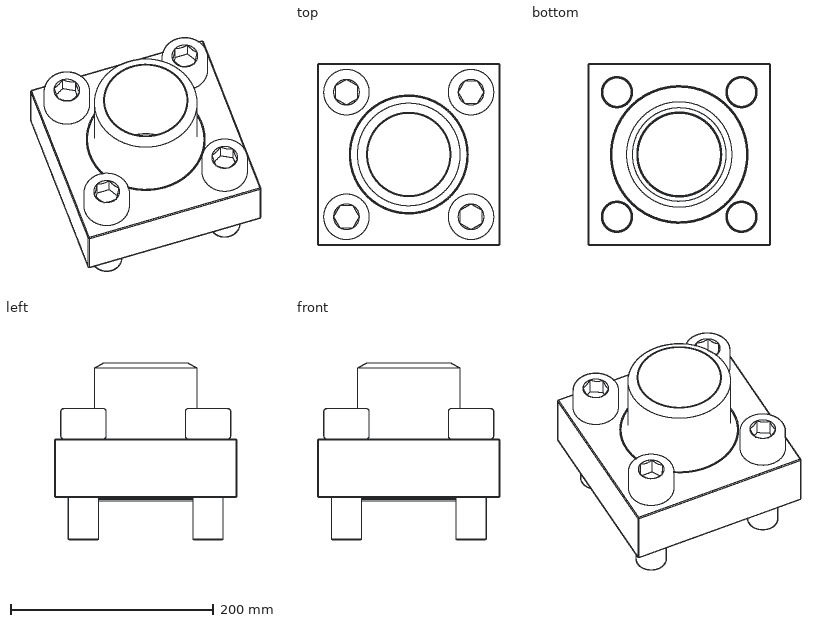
import math

import cadquery as cq

flange_side = 180.0
flange_height = 58.0
flange_chamfer = 1.0
bolt_circle_diameter = 174.0
bolt_hole_diameter = 31.0
hub_hole_chamfer = 1.0

tube_diameter = 101.5
bore_diameter = 81.5
tip_diameter = 83.3
tip_bevel_height = 5.0
neck_rise = 75.0
straight_bore_depth = 37.5
bore_mouth_diameter = 84.0
hub_diameter = 115.0
collar_diameter = 135.0
collar_height = 25.2
collar_chamfer = 0.9
collar_projection = 2.0

hub_hole_diameter = 115.5
collar_recess_diameter = 136.0

seal_inner_diameter = 92.5
seal_outer_diameter = 104.2
seal_projection = 1.5

shank_diameter = 30.0
shank_length = 99.9
shank_tip_chamfer = 1.0
head_diameter = 45.0
head_height = 30.0
head_top_fillet = 3.0
head_bottom_fillet = 3.0
socket_corner_diameter = 25.4
socket_depth = 17.1
socket_mouth_depth = 1.8

bolt_offset = bolt_circle_diameter / 2 * math.sqrt(0.5)
neck_top = flange_height + neck_rise
collar_bottom = -collar_projection
collar_top = collar_bottom + collar_height
hub_fillet = (hub_diameter - tube_diameter) / 2
seal_section_radius = (seal_outer_diameter - seal_inner_diameter) / 4
seal_center_radius = (seal_outer_diameter + seal_inner_diameter) / 4
seal_center_z = collar_bottom - seal_projection + seal_section_radius
bolt_positions = [(sx * bolt_offset, sy * bolt_offset) for sx in (-1, 1) for sy in (-1, 1)]


def make_flange():
    """Square block with a stepped central hole and four bolt holes."""
    block = cq.Workplane("XY").box(flange_side, flange_side, flange_height, centered=(True, True, False))
    block = block.edges().chamfer(flange_chamfer)
    hub_hole = cq.Workplane("XY").circle(hub_hole_diameter / 2).extrude(flange_height)
    collar_recess = cq.Workplane("XY").circle(collar_recess_diameter / 2).extrude(collar_top)
    bolt_holes = (
        cq.Workplane("XY")
        .pushPoints(bolt_positions)
        .circle(bolt_hole_diameter / 2)
        .extrude(flange_height)
    )
    hub_hole_mouth = (
        cq.Workplane("XY", origin=(0, 0, flange_height))
        .circle(hub_hole_diameter / 2 + hub_hole_chamfer)
        .extrude(-hub_hole_chamfer, taper=45)
    )
    return block.cut(hub_hole).cut(hub_hole_mouth).cut(collar_recess).cut(bolt_holes)


def make_neck():
    """Revolved welding neck with a face groove for the seal."""
    tube_radius = tube_diameter / 2
    hub_radius = hub_diameter / 2
    collar_radius = collar_diameter / 2
    arc_middle_offset = hub_fillet * (1 - math.sqrt(0.5))
    body = (
        cq.Workplane("XZ")
        .moveTo(bore_mouth_diameter / 2, collar_bottom)
        .lineTo(collar_radius - collar_chamfer, collar_bottom)
        .lineTo(collar_radius, collar_bottom + collar_chamfer)
        .lineTo(collar_radius, collar_top)
        .lineTo(hub_radius, collar_top)
        .lineTo(hub_radius, flange_height)
        .threePointArc(
            (tube_radius + arc_middle_offset, flange_height + arc_middle_offset),
            (tube_radius, flange_height + hub_fillet),
        )
        .lineTo(tube_radius, neck_top - tip_bevel_height)
        .lineTo(tip_diameter / 2, neck_top)
        .lineTo(bore_diameter / 2, neck_top)
        .lineTo(bore_diameter / 2, neck_top - straight_bore_depth)
        .close()
        .revolve(360, (0, 0, 0), (0, 1, 0))
    )
    groove_depth = seal_center_z + seal_section_radius - collar_bottom
    groove = (
        cq.Workplane("XY", origin=(0, 0, collar_bottom))
        .circle(seal_outer_diameter / 2)
        .circle(seal_inner_diameter / 2)
        .extrude(groove_depth)
    )
    return body.cut(groove)


def make_seal():
    """O-ring seated in the neck groove."""
    center = cq.Vector(0, 0, seal_center_z)
    return cq.Workplane(cq.Solid.makeTorus(seal_center_radius, seal_section_radius, center))


def make_bolt(x, y):
    """Socket head bolt seated on the flange top; sockets alternate by 90 degrees around the square."""
    head = cq.Workplane("XY").circle(head_diameter / 2).extrude(head_height)
    head = head.faces(">Z").edges().fillet(head_top_fillet)
    head = head.faces("<Z").edges().fillet(head_bottom_fillet)
    shank = cq.Workplane("XY").circle(shank_diameter / 2).extrude(-shank_length)
    shank = shank.faces("<Z").edges().chamfer(shank_tip_chamfer)
    hexagon = (
        cq.Workplane("XY", origin=(0, 0, head_height - socket_depth))
        .polygon(6, socket_corner_diameter)
        .extrude(socket_depth)
    )
    mouth = cq.Workplane(
        cq.Solid.makeCone(
            socket_corner_diameter / 2 - socket_mouth_depth,
            socket_corner_diameter / 2,
            socket_mouth_depth,
            cq.Vector(0, 0, head_height - socket_mouth_depth),
        )
    )
    socket_turn = 0 if x * y > 0 else 90
    bolt = head.union(shank).cut(hexagon).cut(mouth)
    return bolt.rotate((0, 0, 0), (0, 0, 1), socket_turn).translate((x, y, flange_height))


flange = make_flange()
neck = make_neck()
seal = make_seal()
bolts = [make_bolt(x, y) for x, y in bolt_positions]

result = cq.Compound.makeCompound([flange.val(), neck.val(), seal.val(), *[bolt.val() for bolt in bolts]])